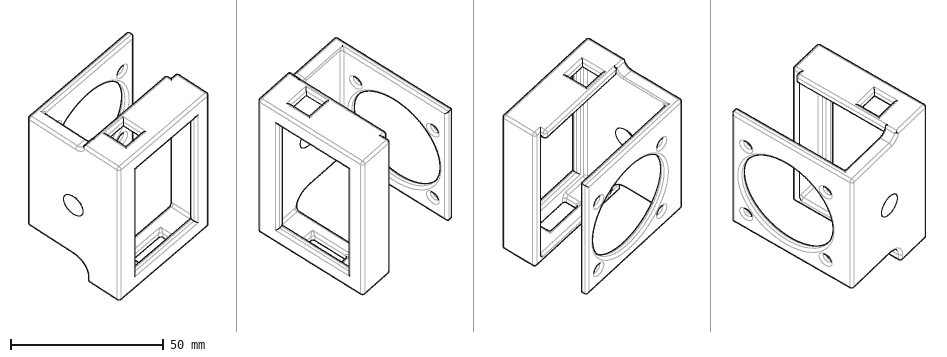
import cadquery as cq
import math

length_x = 40.0
height = 65.0
plate_depth = 50.0

wall = 3.0
front_wall = 5.0
edge_round = 1.0
panel_inner_round = 0.5

plate_bottom = 9.0
plate_top = height - wall
bore_y = 27.5
bore_z = 33.0
bore_diameter = 38.0
screw_diameter = 3.5
screw_pitch = 32.95

box_depth = 45.0
box_left = 26.0
lip_left = 24.0
cavity_right = length_x - wall
cavity_back = box_depth - wall
cavity_mid_y = (front_wall + cavity_back) / 2

upper_blend = height - plate_top
lower_blend = 6.0

front_hole_diameter = 8.5
window_width = 29.95
window_bottom = 7.0
window_top = height - window_bottom
window_front = cavity_mid_y - window_width / 2
window_back = cavity_mid_y + window_width / 2
cable_hole_side = 8.0
cable_hole_x = 30.55
cable_hole_y = 13.5
slot_left = 31.0
slot_width = 15.0
slot_front = cavity_mid_y - slot_width / 2
slot_back = cavity_mid_y + slot_width / 2

diagonal = math.sqrt(0.5)


def block(x_span, y_span, z_span):
    """Box that fills the given (start, end) spans."""
    sizes = [end - start for start, end in (x_span, y_span, z_span)]
    return cq.Workplane("XY", origin=(x_span[0], y_span[0], z_span[0])).box(*sizes, centered=False)


def lies_on(edge, **plane):
    """True when the whole edge lies in every given plane, such as x=0."""
    tolerance = 0.01
    box = edge.BoundingBox()
    limits = {"x": (box.xmin, box.xmax), "y": (box.ymin, box.ymax), "z": (box.zmin, box.zmax)}
    return all(abs(limit - place) < tolerance for axis, place in plane.items() for limit in limits[axis])


def centre_within(edge, **spans):
    """True when the edge's centre lies inside every given span, ends included."""
    margin = 0.05
    centre = edge.Center()
    places = {"x": centre.x, "y": centre.y, "z": centre.z}
    return all(start - margin < places[axis] < end + margin for axis, (start, end) in spans.items())


def round_edges(body, radius, wanted):
    """Round every edge for which wanted(edge) is true."""
    return body.newObject([edge for edge in body.edges().vals() if wanted(edge)]).fillet(radius)


def front_panel():
    """Front wall: plate-high on the left, blended into the full height of the box."""
    upper_axis_x = lip_left - upper_blend
    lower_axis_x = box_left - lower_blend
    lower_axis_z = plate_bottom - lower_blend
    panel = (
        cq.Workplane("XZ")
        .moveTo(0, plate_bottom)
        .lineTo(lower_axis_x, plate_bottom)
        .threePointArc(
            (lower_axis_x + lower_blend * diagonal, lower_axis_z + lower_blend * diagonal),
            (box_left, lower_axis_z),
        )
        .lineTo(box_left, 0)
        .lineTo(length_x, 0)
        .lineTo(length_x, height)
        .lineTo(lip_left, height)
        .threePointArc(
            (upper_axis_x + upper_blend * diagonal, height - upper_blend * diagonal),
            (upper_axis_x, plate_top),
        )
        .lineTo(0, plate_top)
        .close()
        .extrude(-front_wall)
    )

    def on_open_inner_edge(edge):
        beside_plate = lies_on(edge, z=plate_bottom) or lies_on(edge, z=plate_top)
        return lies_on(edge, y=front_wall) and (beside_plate or edge.geomType() == "CIRCLE")

    return round_edges(panel, panel_inner_round, on_open_inner_edge)


def mounting_plate():
    """Plate with its free inner edges rounded."""
    plate = block((0, wall), (0, plate_depth), (plate_bottom, plate_top))
    return round_edges(plate, edge_round, lambda edge: lies_on(edge, x=wall) and not lies_on(edge, y=0))


def outer_shell():
    """Front wall, plate and solid box with a lip along the top, all rounded except the crest."""
    lip = block((lip_left, box_left), (0, cavity_back), (plate_top, height))
    shell = (
        front_panel()
        .union(mounting_plate())
        .union(block((box_left, length_x), (0, box_depth), (0, height)))
        .union(lip)
        .clean()
    )

    def on_outer_edge(edge):
        crest = lies_on(edge, x=lip_left, z=height) and centre_within(edge, y=(0, front_wall))
        faces = [{"x": 0}, {"x": length_x}, {"y": 0}, {"y": box_depth}, {"z": 0}, {"z": height}]
        lip_end = {"x": lip_left, "y": cavity_back}
        return not crest and any(lies_on(edge, **place) for place in faces + [lip_end])

    shell = round_edges(shell, edge_round, on_outer_edge)
    return round_edges(shell, edge_round, lambda edge: lies_on(edge, x=wall, y=front_wall))


def crest_cutter():
    """Rounds the crest of the front wall, where the upper blend meets the top."""
    blend_axis_x = lip_left - upper_blend
    reach = upper_blend + edge_round
    centre_x = blend_axis_x + math.sqrt(reach**2 - edge_round**2)
    centre_z = height - edge_round
    touch_x = blend_axis_x + (centre_x - blend_axis_x) * upper_blend / reach
    touch_z = height - edge_round * upper_blend / reach
    clear_x = touch_x - edge_round
    clear_z = height + edge_round
    return (
        cq.Workplane("XZ")
        .moveTo(touch_x, touch_z)
        .threePointArc((centre_x - edge_round * diagonal, centre_z + edge_round * diagonal), (centre_x, height))
        .lineTo(centre_x, clear_z)
        .lineTo(clear_x, clear_z)
        .lineTo(clear_x, touch_z)
        .close()
        .extrude(-front_wall)
    )


def cavity():
    """Space inside the box, with the slot through its floor and the flare over its lower rim."""
    y_span = (front_wall, cavity_back)
    space = (
        block((lip_left, cavity_right), y_span, (wall, plate_top))
        .union(block((lip_left, box_left), y_span, (0, wall)))
        .union(block((slot_left, cavity_right), (slot_front, slot_back), (-wall, wall)))
    )

    def on_floor_rim(edge):
        lower_rim = lies_on(edge, x=box_left, z=wall)
        inside_slot = centre_within(edge, x=(slot_left, cavity_right - 0.65), y=(slot_front, slot_back))
        return lower_rim or (lies_on(edge, z=wall) and inside_slot)

    def on_inner_corner(edge):
        far_corner = lies_on(edge, x=cavity_right) and not lies_on(edge, z=-wall)
        long_corner = any(
            lies_on(edge, y=y, z=z) and centre_within(edge, x=(box_left, cavity_right))
            for y in y_span
            for z in (wall, plate_top)
        )
        slot_corner = any(lies_on(edge, x=slot_left, y=y) for y in (slot_front, slot_back))
        return far_corner or long_corner or slot_corner

    return round_edges(round_edges(space, edge_round, on_floor_rim), edge_round, on_inner_corner)


def add_plate_holes(body):
    """Large bore with four screw holes around it, rounded on both faces of the plate."""
    centre = cq.Workplane("YZ").center(bore_y, bore_z)
    bore = centre.circle(bore_diameter / 2).extrude(wall)
    screws = centre.rect(screw_pitch, screw_pitch, forConstruction=True).vertices()
    body = body.cut(bore).cut(screws.circle(screw_diameter / 2).extrude(wall))

    def on_hole_rim(edge):
        closed = edge.geomType() == "CIRCLE" and edge.IsClosed()
        return closed and (lies_on(edge, x=0) or lies_on(edge, x=wall))

    return round_edges(body, edge_round, on_hole_rim)


def add_window(body):
    """Tall window through the +X wall, rounded on both sides."""
    y_span = (window_front, window_back)
    z_span = (window_bottom, window_top)
    body = body.cut(block((cavity_right, length_x), y_span, z_span))

    def on_window_rim(edge):
        on_wall_face = lies_on(edge, x=cavity_right) or lies_on(edge, x=length_x)
        return on_wall_face and centre_within(edge, y=y_span, z=z_span)

    return round_edges(body, edge_round, on_window_rim)


def add_cable_hole(body):
    """Square hole through the top wall, rounded on the outside."""
    half = cable_hole_side / 2
    x_span = (cable_hole_x - half, cable_hole_x + half)
    y_span = (cable_hole_y - half, cable_hole_y + half)
    body = body.cut(block(x_span, y_span, (plate_top, height)))
    return round_edges(
        body,
        edge_round,
        lambda edge: lies_on(edge, z=height) and centre_within(edge, x=x_span, y=y_span),
    )


front_hole = (
    cq.Workplane("XZ").center(length_x / 2, bore_z).circle(front_hole_diameter / 2).extrude(-front_wall)
)

bracket = outer_shell().cut(crest_cutter()).cut(front_hole)
bracket = add_plate_holes(bracket)
bracket = bracket.cut(cavity())
bracket = add_window(bracket)
result = add_cable_hole(bracket)